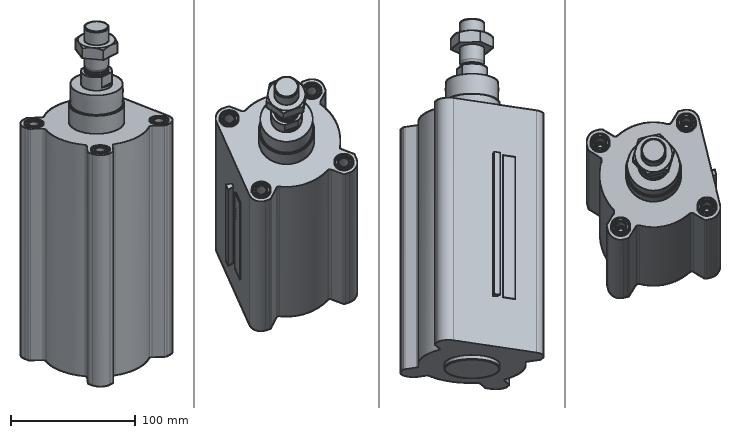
import cadquery as cq
import math

TOTAL_HEIGHT = 297.5
BASE_BOSS_HEIGHT = 4.0
BARREL_TOP = 212.0
COLLAR_STEP = 228.5
COLLAR_TOP = 245.8
ROD_SHOULDER = 257.7

SQUARE_SIDE = 93.0
HALF_SIDE = SQUARE_SIDE / 2
TUBE_RADIUS = 43.5
LOBE_WIDTH = 20.8
CORNER_RADIUS = 10.0
CREASE_RADIUS = 2.5

BOSS_DIAMETER = 45.0
BOSS_CHAMFER = 0.5
COLLAR_DIAMETER = 42.3
COLLAR_BULGE = 0.3

SCREW_OFFSET = 35.7
RECESS_DIAMETER = 15.8
HEAD_DIAMETER = 15.0
HEAD_CHAMFER = 1.0
RECESS_DEPTH = 5.0
THREAD_DIAMETER = 8.3
THREAD_DEPTH = 15.0
THREAD_CHAMFER = 1.0
THREAD_CHAMFER_DEPTH = 0.5
THREAD_CORE_DIAMETER = 6.2
THREAD_CORE_DEPTH = 20.8

OVERALL_DEPTH = 98.0
RAIL_HEIGHT = OVERALL_DEPTH - SQUARE_SIDE
RAIL_TOP_WIDTH = 5.5
RAIL_ROOT_WIDTH = 3.0
RAIL_LENGTH = 122.0
RAIL_BOTTOM = (BASE_BOSS_HEIGHT + BARREL_TOP - RAIL_LENGTH) / 2
PAD_WIDTH = 10.7
PAD_THICKNESS = 1.0
PAD_CENTER_X = -12.5

ROD_DIAMETER = 25.0
ROD_FLATS = 22.0
FLATS_BOTTOM = 248.2
NECK_DIAMETER = 18.0
NECK_TOP = 260.5
NECK_FLARE = 1.0
ROD_THREAD_DIAMETER = 20.0
ROD_THREAD_RUNOUT_DIAMETER = 18.5
ROD_THREAD_BOTTOM = 263.0
ROD_TIP_CHAMFER = 1.0

NUT_FLATS = 30.0
NUT_BOTTOM = 275.3
NUT_HEIGHT = 10.0
NUT_CHAMFER_ANGLE = 30


def cylinder(diameter, bottom, top):
    return cq.Workplane().workplane(offset=bottom).circle(diameter / 2).extrude(top - bottom)


def round_vertical_edges(body, points, radius):
    """Fillets the vertical edge of the barrel nearest to each XY point."""
    middle = (BASE_BOSS_HEIGHT + BARREL_TOP) / 2
    for x, y in points:
        edge = cq.selectors.NearestToPointSelector((x, y, middle))
        body = body.edges("|Z").edges(edge).fillet(radius)
    return body


def make_barrel():
    flank = LOBE_WIDTH / math.sqrt(2)
    tip = HALF_SIDE - flank
    chord = math.sqrt(TUBE_RADIUS**2 - flank**2 / 2) / math.sqrt(2)
    far = chord + flank / 2
    near = chord - flank / 2

    outline = (
        cq.Workplane()
        .workplane(offset=BASE_BOSS_HEIGHT)
        .moveTo(-HALF_SIDE, HALF_SIDE)
        .lineTo(-HALF_SIDE, tip)
        .lineTo(-far, near)
        .threePointArc((-TUBE_RADIUS, 0), (-far, -near))
        .lineTo(-HALF_SIDE, -tip)
        .lineTo(-HALF_SIDE, -HALF_SIDE)
        .lineTo(-tip, -HALF_SIDE)
        .lineTo(-near, -far)
        .threePointArc((0, -TUBE_RADIUS), (near, -far))
        .lineTo(tip, -HALF_SIDE)
        .lineTo(HALF_SIDE, -HALF_SIDE)
        .lineTo(HALF_SIDE, -tip)
        .lineTo(far, -near)
        .threePointArc((TUBE_RADIUS, 0), (far, near))
        .lineTo(HALF_SIDE, tip)
        .lineTo(HALF_SIDE, HALF_SIDE)
        .close()
    )
    barrel = outline.extrude(BARREL_TOP - BASE_BOSS_HEIGHT)

    corners = [(sx * HALF_SIDE, sy * HALF_SIDE) for sx in (-1, 1) for sy in (-1, 1)]
    creases = [
        (sx * x, sy * y) for x, y in ((HALF_SIDE, tip), (far, near)) for sx in (-1, 1) for sy in (-1, 1)
    ]
    creases += [(sx * x, -y) for x, y in ((tip, HALF_SIDE), (near, far)) for sx in (-1, 1)]
    barrel = round_vertical_edges(barrel, creases, CREASE_RADIUS)
    return round_vertical_edges(barrel, corners, CORNER_RADIUS)


def make_end_bosses():
    base = cylinder(BOSS_DIAMETER, 0, BASE_BOSS_HEIGHT).faces("<Z").chamfer(BOSS_CHAMFER)
    lower_collar = cylinder(BOSS_DIAMETER, BARREL_TOP, COLLAR_STEP).faces(">Z").chamfer(BOSS_CHAMFER)
    collar_radius = COLLAR_DIAMETER / 2
    upper_collar = (
        cq.Workplane("XZ")
        .moveTo(0, COLLAR_STEP)
        .lineTo(collar_radius, COLLAR_STEP)
        .threePointArc(
            (collar_radius + COLLAR_BULGE, (COLLAR_STEP + COLLAR_TOP) / 2),
            (collar_radius, COLLAR_TOP),
        )
        .lineTo(0, COLLAR_TOP)
        .close()
        .revolve(360, (0, 0, 0), (0, 1, 0))
    )
    return base, lower_collar, upper_collar


def make_screw_recess():
    """Material removed around and inside one corner screw head, on the Z axis."""
    recess_floor = BARREL_TOP - RECESS_DEPTH
    head = cylinder(HEAD_DIAMETER, recess_floor, BARREL_TOP).faces(">Z").chamfer(HEAD_CHAMFER)
    groove = cylinder(RECESS_DIAMETER, recess_floor, BARREL_TOP).cut(head)
    thread = cylinder(THREAD_DIAMETER, BARREL_TOP - THREAD_DEPTH, BARREL_TOP)
    core = cylinder(THREAD_CORE_DIAMETER, BARREL_TOP - THREAD_CORE_DEPTH, BARREL_TOP)
    mouth = cq.Workplane(
        cq.Solid.makeCone(
            THREAD_DIAMETER / 2,
            THREAD_DIAMETER / 2 + THREAD_CHAMFER,
            THREAD_CHAMFER_DEPTH,
            pnt=cq.Vector(0, 0, BARREL_TOP - THREAD_CHAMFER_DEPTH),
        )
    )
    return groove, thread.union(core).union(mouth)


def make_rail():
    return (
        cq.Workplane()
        .workplane(offset=RAIL_BOTTOM)
        .moveTo(-RAIL_ROOT_WIDTH / 2, HALF_SIDE)
        .lineTo(-RAIL_TOP_WIDTH / 2, HALF_SIDE + RAIL_HEIGHT)
        .lineTo(RAIL_TOP_WIDTH / 2, HALF_SIDE + RAIL_HEIGHT)
        .lineTo(RAIL_ROOT_WIDTH / 2, HALF_SIDE)
        .close()
        .extrude(RAIL_LENGTH)
    )


def make_pad():
    return (
        cq.Workplane()
        .box(PAD_WIDTH, PAD_THICKNESS, RAIL_LENGTH, centered=(True, False, False))
        .translate((PAD_CENTER_X, HALF_SIDE, RAIL_BOTTOM))
    )


def make_housing():
    housing = make_barrel()
    for boss in make_end_bosses():
        housing = housing.union(boss)
    housing = housing.union(make_rail()).union(make_pad())
    groove, socket = make_screw_recess()
    for x in (-SCREW_OFFSET, SCREW_OFFSET):
        for y in (-SCREW_OFFSET, SCREW_OFFSET):
            housing = housing.cut(groove.translate((x, y, 0))).cut(socket.translate((x, y, 0)))
    return housing.cut(cylinder(ROD_DIAMETER, BARREL_TOP, COLLAR_TOP))


def make_rod():
    thread_radius = ROD_THREAD_DIAMETER / 2
    rod = (
        cq.Workplane("XZ")
        .moveTo(0, BARREL_TOP)
        .lineTo(ROD_DIAMETER / 2, BARREL_TOP)
        .lineTo(ROD_DIAMETER / 2, ROD_SHOULDER)
        .lineTo(NECK_DIAMETER / 2 + NECK_FLARE, ROD_SHOULDER)
        .lineTo(NECK_DIAMETER / 2, ROD_SHOULDER + NECK_FLARE)
        .lineTo(NECK_DIAMETER / 2, NECK_TOP)
        .lineTo(ROD_THREAD_RUNOUT_DIAMETER / 2, NECK_TOP)
        .lineTo(thread_radius, ROD_THREAD_BOTTOM)
        .lineTo(thread_radius, TOTAL_HEIGHT - ROD_TIP_CHAMFER)
        .lineTo(thread_radius - ROD_TIP_CHAMFER, TOTAL_HEIGHT)
        .lineTo(0, TOTAL_HEIGHT)
        .close()
        .revolve(360, (0, 0, 0), (0, 1, 0))
    )
    flat_height = ROD_SHOULDER - FLATS_BOTTOM
    flats = cylinder(ROD_DIAMETER, FLATS_BOTTOM, ROD_SHOULDER).cut(
        cq.Workplane()
        .box(ROD_FLATS, ROD_DIAMETER, flat_height, centered=(True, True, False))
        .translate((0, 0, FLATS_BOTTOM))
    )
    return rod.cut(flats)


def make_nut():
    corner_diameter = NUT_FLATS / math.cos(math.pi / 6)
    nut = (
        cq.Workplane()
        .workplane(offset=NUT_BOTTOM)
        .transformed(rotate=(0, 0, 90))
        .polygon(6, corner_diameter)
        .extrude(NUT_HEIGHT)
    )
    overhang = (corner_diameter - NUT_FLATS) / 2
    drop = overhang * math.tan(math.radians(NUT_CHAMFER_ANGLE))
    nut_top = NUT_BOTTOM + NUT_HEIGHT
    envelope = cylinder(corner_diameter, NUT_BOTTOM, nut_top).faces(">Z").chamfer(drop, overhang)
    return nut.intersect(envelope).cut(cylinder(ROD_THREAD_DIAMETER, NUT_BOTTOM, nut_top))


housing = make_housing()
rod = make_rod()
nut = make_nut()

result = cq.Compound.makeCompound([housing.val(), rod.val(), nut.val()])